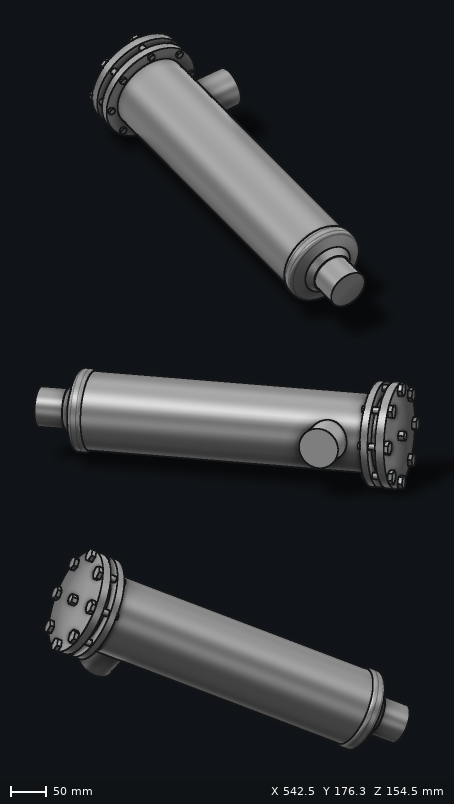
import cadquery as cq
import math

head_face_x = 2.0
cover_x = 8.5
cover_thickness = 13.0
flange_x = 33.0
flange_thickness = 11.5
bolt_end_x = 48.5
cap_x = 465.5
cap_rim_x = 472.0
knuckle_x = 480.0
neck_x = 491.0
outlet_x = 501.0
end_x = 542.5

cover_diameter = 153.0
flange_diameter = 152.0
shell_diameter = 114.0
rim_diameter = 120.5
neck_diameter = 77.0
cone_end_diameter = 61.0
pipe_diameter = 58.0

rim_radius = rim_diameter / 2
shell_radius = shell_diameter / 2
knuckle_radius = 5.5
shoulder_slope = math.radians(73)

side_pipe_x = 99.0
side_pipe_reach = 99.0

bolt_count = 8
bolt_circle_radius = 68.5
bolt_diameter = 10.0
head_across_flats = 17.5
center_head_across_flats = 13.0
center_head_angle = -15


def disc(x_start, length, diameter):
    """Cylinder on the X axis."""
    return cq.Workplane("YZ").workplane(offset=x_start).circle(diameter / 2).extrude(length)


def hex_head(x_start, length, across_flats):
    """Hexagonal prism on the X axis, with two corners on the Z direction."""
    corner_diameter = across_flats / math.cos(math.pi / 6)
    prism = cq.Workplane("YZ").workplane(offset=x_start).polygon(6, corner_diameter).extrude(length)
    return prism.rotate((0, 0, 0), (1, 0, 0), 90)


def end_cap():
    """Revolved cap: rounded rim, steep shoulder and a cone ending in a small step at the outlet."""

    def knuckle_point(angle):
        return (
            knuckle_x + knuckle_radius * math.sin(angle),
            rim_radius - knuckle_radius * (1 - math.cos(angle)),
        )

    profile = (
        cq.Workplane("XY")
        .moveTo(cap_rim_x, rim_radius)
        .lineTo(knuckle_x, rim_radius)
        .threePointArc(knuckle_point(shoulder_slope / 2), knuckle_point(shoulder_slope))
        .lineTo(neck_x, neck_diameter / 2)
        .lineTo(outlet_x, cone_end_diameter / 2)
        .lineTo(outlet_x, 0)
        .lineTo(cap_x, 0)
        .lineTo(cap_x, shell_radius)
    )
    rise = rim_radius - shell_radius
    run = cap_rim_x - cap_x
    arc_radius = (rise**2 + run**2) / (2 * rise)
    half_angle = math.asin(run / arc_radius) / 2
    arc_middle = (
        cap_rim_x - arc_radius * math.sin(half_angle),
        rim_radius - arc_radius * (1 - math.cos(half_angle)),
    )
    profile = profile.threePointArc(arc_middle, (cap_rim_x, rim_radius)).close()
    return profile.revolve(360, (0, 0, 0), (1, 0, 0))


def cover_bolt(angle):
    """Bolt with one flat of its head facing outward, turned about the X axis."""
    head = hex_head(head_face_x, cover_x - head_face_x, head_across_flats)
    shank = disc(cover_x, bolt_end_x - cover_x, bolt_diameter)
    bolt = head.union(shank).translate((0, bolt_circle_radius, 0))
    return bolt.rotate((0, 0, 0), (1, 0, 0), angle)


cover_back_x = cover_x + cover_thickness
result = disc(cover_back_x, cap_x - cover_back_x, shell_diameter)
result = result.union(end_cap())
result = result.union(disc(outlet_x, end_x - outlet_x, pipe_diameter))

side_pipe = cq.Workplane("XZ").center(side_pipe_x, 0).circle(pipe_diameter / 2).extrude(-side_pipe_reach)
result = result.union(side_pipe)

result = result.union(disc(cover_x, cover_thickness, cover_diameter))
result = result.union(disc(flange_x, flange_thickness, flange_diameter))

for index in range(bolt_count):
    result = result.union(cover_bolt(index * 360 / bolt_count))
center_head = hex_head(0, cover_x, center_head_across_flats)
result = result.union(center_head.rotate((0, 0, 0), (1, 0, 0), center_head_angle))